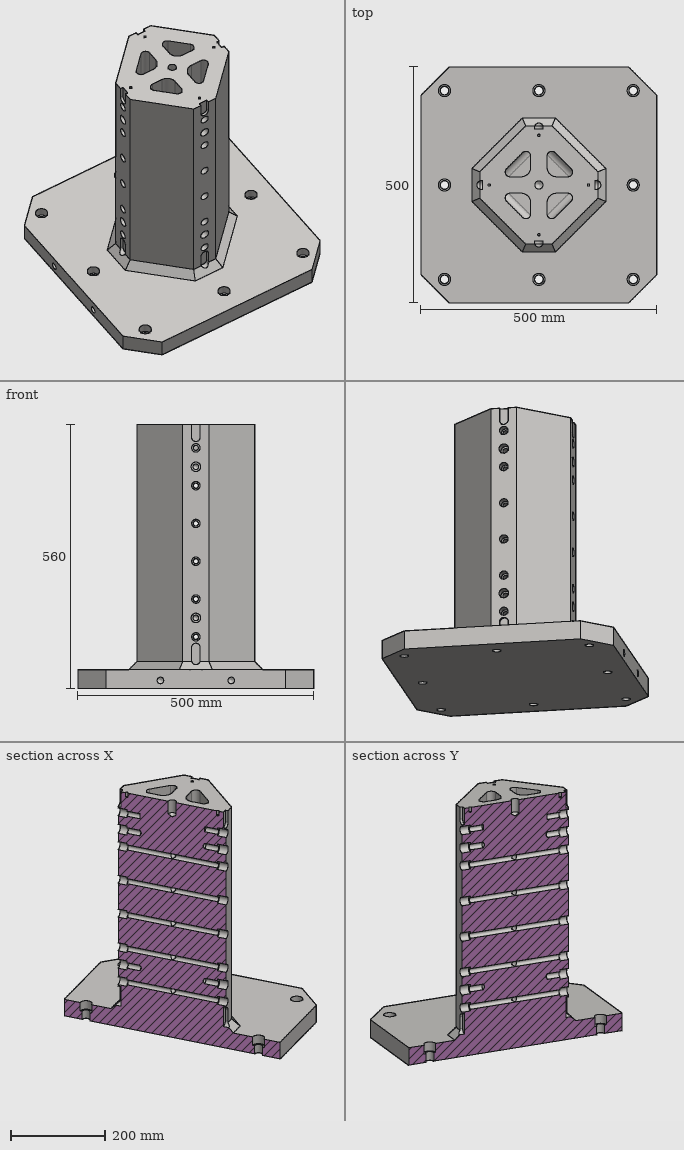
import cadquery as cq
import math

plate_side = 500.0
plate_height = 40.5
plate_corner_cut = 60.0

total_height = 560
column_side = 250.5
column_flat = 56
flare = 17.0
octagon_turn = 45

mount_pitch = 200.0
mount_bore = 18.0
mount_counterbore = 26.0
mount_counterbore_depth = 20.0

edge_hole_diameter = 14.0
edge_hole_offset = 75.0
edge_hole_height = 17.5
edge_hole_depth = 30.0

hole_pitch = 80.0
hole_step = hole_pitch / 2
first_hole_height = 110.0
through_steps = (0, 2, 4, 6, 8)
dowel_steps = (1, 9)
tapped_step = 10
tapped_bore = 10.5
tapped_counterbore = 18.0
dowel_bore = 12.0
dowel_counterbore = 20.0
counterbore_depth = 20.0
blind_hole_depth = 50.0

slot_width = 18.5
slot_depth = 6.0
lower_slot_bottom = 51.0
lower_slot_top = 96.5
upper_slot_bottom = 523.5

centre_hole_diameter = 17.5
centre_hole_depth = 30.0
pin_hole_diameter = 5.0
pin_hole_radius = 105.0
pin_hole_depth = 10.0

pocket_wall_offset = 17.5
pocket_outer_distance = 73.0
pocket_inner_radius = 20.0
pocket_corner_radius = 10.0
pocket_floor = plate_height
pocket_floor_fillet = 15.0

drill_point_angle = 118


def column_outline(growth):
    """Corners of the column section after moving every side outwards by growth."""
    face = column_side / 2 + growth
    half_flat = column_flat / 2 + growth * math.tan(math.radians(octagon_turn / 2))
    corners = []
    for sx, sy in ((1, 1), (-1, 1), (-1, -1), (1, -1)):
        pair = [(sx * face, sy * half_flat), (sx * half_flat, sy * face)]
        corners += pair if sx == sy else pair[::-1]
    return corners


def drilled_hole(diameter, depth):
    """Blind hole going down from the origin, ending in a drill point."""
    radius = diameter / 2
    point_depth = radius / math.tan(math.radians(drill_point_angle / 2))
    profile = [(0, 0), (radius, 0), (radius, -depth), (0, -depth - point_depth)]
    return cq.Workplane("XZ").polyline(profile).close().revolve(360, (0, 0, 0), (0, 1, 0))


def rod(diameter, depth):
    """Flat-ended cylinder going down from the origin."""
    return cq.Workplane("XY").circle(diameter / 2).extrude(-depth)


def into_front(tool, x, face, height):
    """Turn a tool that points down so that it enters the -Y side."""
    return tool.rotate((0, 0, 0), (1, 0, 0), 90).translate((x, -face, height))


def make_plate():
    plate = cq.Workplane("XY").rect(plate_side, plate_side).extrude(plate_height)
    plate = plate.edges("|Z").chamfer(plate_corner_cut)
    steps = (-mount_pitch, 0, mount_pitch)
    places = [(x, y) for x in steps for y in steps if (x, y) != (0, 0)]
    plate = (
        plate.faces(">Z").workplane(origin=(0, 0, plate_height)).pushPoints(places)
        .cboreHole(mount_bore, mount_counterbore, mount_counterbore_depth)
    )
    for x in (-edge_hole_offset, edge_hole_offset):
        hole = drilled_hole(edge_hole_diameter, edge_hole_depth)
        plate = plate.cut(into_front(hole, x, plate_side / 2, edge_hole_height))
    return plate


def make_column():
    column = cq.Workplane("XY").polyline(column_outline(0)).close().extrude(total_height)
    skirt = (
        cq.Workplane("XY", origin=(0, 0, plate_height))
        .polyline(column_outline(flare)).close()
        .workplane(offset=flare)
        .polyline(column_outline(0)).close()
        .loft(ruled=True)
    )
    return column.union(skirt)


def make_pocket():
    """Pocket in the +X +Y quarter; its outer wall is square to the diagonal."""
    height = total_height - pocket_floor
    reach = pocket_outer_distance * math.sqrt(2) - pocket_wall_offset
    near = pocket_wall_offset
    pocket = (
        cq.Workplane("XY", origin=(0, 0, pocket_floor))
        .polyline([(near, near), (reach, near), (near, reach)]).close().extrude(height)
    )
    inner_edge = cq.selectors.NearestToPointSelector((near, near, total_height / 2))
    pocket = pocket.edges(inner_edge).fillet(pocket_inner_radius)
    pocket = pocket.edges("|Z and (>X or >Y)").fillet(pocket_corner_radius)
    block_width = 2 * pocket_outer_distance
    envelope = (
        cq.Workplane("XY", origin=(0, 0, pocket_floor))
        .rect(block_width, 2 * block_width).extrude(height)
        .edges(">X and <Z").fillet(pocket_floor_fillet)
        .rotate((0, 0, 0), (0, 0, 1), octagon_turn)
    )
    return pocket.intersect(envelope)


def make_slot(bottom, top):
    """Round-ended slot in the -Y column flat."""
    middle = (bottom + top) / 2
    floor = column_side / 2 - slot_depth
    return (
        cq.Workplane("XZ", origin=(0, -floor, middle))
        .slot2D(top - bottom, slot_width, 90).extrude(slot_depth + flare)
    )


def make_flat_tools():
    """Everything cut into the -Y column flat."""
    face = column_side / 2
    tools = make_slot(lower_slot_bottom, lower_slot_top)
    tools = tools.union(make_slot(upper_slot_bottom, total_height + slot_width))

    through_hole = rod(tapped_counterbore, counterbore_depth).union(rod(tapped_bore, face))
    tapped_hole = rod(tapped_counterbore, counterbore_depth).union(rod(tapped_bore, blind_hole_depth))
    dowel_hole = rod(dowel_counterbore, counterbore_depth).union(drilled_hole(dowel_bore, blind_hole_depth))
    rows = [(step, through_hole) for step in through_steps]
    rows += [(step, dowel_hole) for step in dowel_steps]
    rows.append((tapped_step, tapped_hole))
    for step, hole in rows:
        tools = tools.union(into_front(hole, 0, face, first_hole_height + step * hole_step))
    return tools


result = make_plate().union(make_column())
flat_tools = make_flat_tools()
pocket = make_pocket()
pin_hole = drilled_hole(pin_hole_diameter, pin_hole_depth).translate((0, -pin_hole_radius, total_height))
for angle in (0, 90, 180, 270):
    for tool in (flat_tools, pocket, pin_hole):
        result = result.cut(tool.rotate((0, 0, 0), (0, 0, 1), angle))
centre_hole = drilled_hole(centre_hole_diameter, centre_hole_depth)
result = result.cut(centre_hole.translate((0, 0, total_height)))